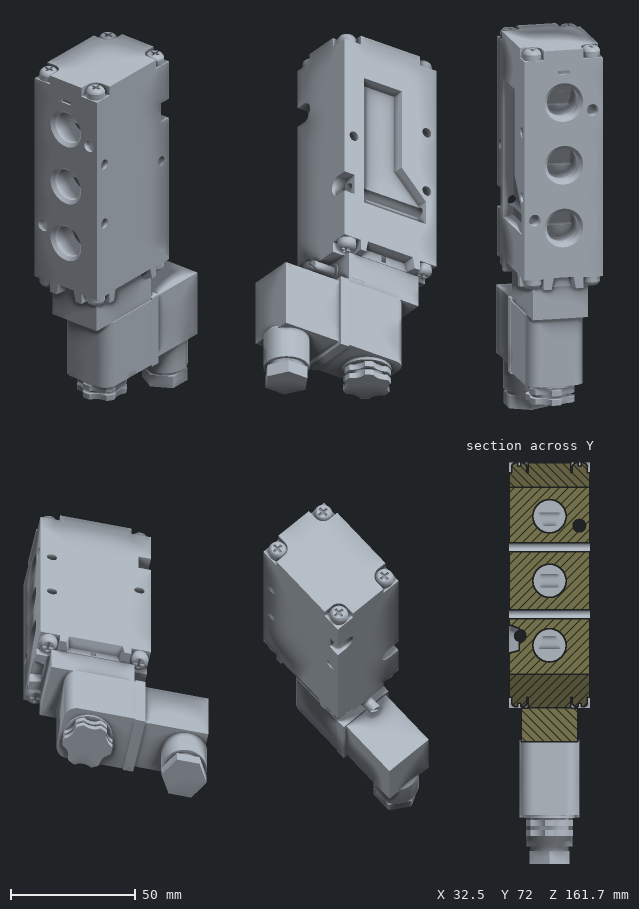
import cadquery as cq
import math


WIDTH = 32.5
DEPTH = 45.5
BODY_HEIGHT = 75.4
MID_Z = BODY_HEIGHT / 2
MID_Y = DEPTH / 2

PORT_SPACING = 26
PORT_MOUTH_DIAMETER = 16
PORT_DIAMETER = 13.2
PORT_CHAMFER = (PORT_MOUTH_DIAMETER - PORT_DIAMETER) / 2
PORT_CHAMFER_ANGLE = 45
PORT_DEPTH = 12
SLOT_SPACING = 24.8
SLOT_HEIGHT = 5.3
SLOT_DEPTH = 3

BOLT_HOLE_DIAMETER = 4.8
BOLT_HOLE_X = 12
BOLT_HOLE_OFFSET_Z = 22.2
COUNTERBORE_DIAMETER = 8.8
COUNTERBORE_DEPTH = 5.1

CROSS_HOLE_DIAMETER = 4.3
CROSS_HOLE_MARGIN = 4.75
CROSS_HOLE_OFFSET_Z = 13.5

POCKET_DEPTH = 4
POCKET_TAPER = 14
POCKET_TOP_Z = 66.3
POCKET_BOTTOM_Z = 8.7
POCKET_BACK_Y = 35.8
POCKET_STEP_Y = 17.1
POCKET_FRONT_Y = 5.1
POCKET_CORNER_Z = 18.9
POCKET_STEP_Z = POCKET_CORNER_Z + (POCKET_STEP_Y - POCKET_FRONT_Y)

TOP_CAP_HEIGHT = 10
LOWER_CAP_HEIGHT = 13.6
LOWER_CAP_Z = -LOWER_CAP_HEIGHT
CORNER_RECESS_SIZE = 8.1
TOP_RECESS_DEPTH = 4
LOWER_RECESS_DEPTH = 4.4
HEAD_DIAMETER = 7.5
HEAD_TOP_DIAMETER = 4.9
HEAD_RIM_HEIGHT = 2.4
HEAD_HEIGHT = 4
HEAD_DOME_RADIUS = 2.5
DRIVE_LENGTH = 4.3
DRIVE_WIDTH = 1.1
DRIVE_DEPTH = 1.5

VENT_WIDTH = 4.7
VENT_HEIGHT = 1.5
VENT_DEPTH = 1

WINDOW_HEIGHT = 4.8
WINDOW_DEPTH = 4.5
WINDOW_DRAFT = math.tan(math.radians(14))
FRONT_WINDOW_WIDTH = 8.3
SIDE_WINDOW_WIDTH = 22.2
WINDOW_SPREAD = 0.9
KEY_WIDTH = 2.2
KEY_TOP = 4.2
KEY_BOTTOM = 0.8
KEY_DEPTH = 3

PILOT_WIDTH = 23
PILOT_FRONT_Y = 5.5
PILOT_BACK_Y = 39.8
PILOT_HEIGHT = 13.6
PILOT_BOTTOM_Z = LOWER_CAP_Z - PILOT_HEIGHT
RELIEF_LENGTH = 7.6
RELIEF_HEIGHT = 2.4
RELIEF_DEPTH = 0.1
OVERRIDE_Z = -18
OVERRIDE_DIAMETER = 5
OVERRIDE_END_Y = 49.9
COLLAR_DIAMETER = 7.95
COLLAR_LENGTH = 0.5
DRIVER_SLOT_WIDTH = 1
DRIVER_SLOT_DEPTH = 1

COIL_WIDTH = 23.8
COIL_FRONT_Y = 11.7
COIL_BACK_Y = 40.1
COIL_BOTTOM_Z = -56.7
COIL_CORNER_RADIUS = 5.2
GASKET_WIDTH = 24
GASKET_THICKNESS = 4.1
GASKET_TOP_Z = -26.3
GASKET_BOTTOM_Z = -57.6
PLUG_WIDTH = 21
PLUG_BACK_Y = 70.4
PLUG_TOP_Z = -27.7
PLUG_BOTTOM_Z = -55.8

GLAND_Y = 62.6
GLAND_DIAMETER = 18.5
GLAND_NECK_DIAMETER = 15.5
GLAND_TOP_Z = -53.4
GLAND_BEVEL = 1.5
GLAND_BOTTOM_Z = -69.2
GLAND_NUT_TOP_Z = -71
GLAND_NUT_BOTTOM_Z = -76.3
GLAND_NUT_CORNERS = 18.7

COIL_NUT_Y = 22.85
COIL_NUT_DIAMETER = 20
COIL_NUT_NECK_DIAMETER = 15.5
COIL_NUT_FLANGE_BOTTOM_Z = -57.9
COIL_NUT_RING_TOPS = (-58.7, -62.6)
COIL_NUT_RING_HEIGHT = 2.4
COIL_NUT_BOTTOM_Z = COIL_NUT_RING_TOPS[-1] - COIL_NUT_RING_HEIGHT
SCALLOP_COUNT = 6
SCALLOP_RADIUS = 6
SCALLOP_HALF_ANGLE = math.radians(20)


def block(x_range, y_range, z_range):
    """Box between two limits on each axis."""
    size = [high - low for low, high in (x_range, y_range, z_range)]
    corner = (x_range[0], y_range[0], z_range[0])
    return cq.Workplane("XY").box(*size, centered=False).translate(corner)


def centred_block(width, y_range, z_range):
    return block((-width / 2, width / 2), y_range, z_range)


def cylinder_z(diameter, y, z_low, z_high):
    """Upright cylinder on the X = 0 plane."""
    base = cq.Workplane("XY", origin=(0, y, z_low))
    return base.circle(diameter / 2).extrude(z_high - z_low)


def cylinder_y(diameter, x, z, y_low, y_high):
    base = cq.Workplane("XZ", origin=(x, y_low, z))
    return base.circle(diameter / 2).extrude(y_low - y_high)


def port(index):
    """Chamfered port with a slot in its floor that leads to the spool bore."""
    z = MID_Z + index * PORT_SPACING
    slot_z = MID_Z + index * SLOT_SPACING
    bore = cylinder_y(PORT_DIAMETER, 0, z, 0, PORT_DEPTH)
    mouth_circle = cq.Workplane("XZ", origin=(0, 0, z)).circle(PORT_MOUTH_DIAMETER / 2)
    mouth = mouth_circle.extrude(-PORT_CHAMFER, taper=PORT_CHAMFER_ANGLE)
    slot_reach = cylinder_y(PORT_DIAMETER, 0, z, 0, PORT_DEPTH + SLOT_DEPTH)
    slot = slot_reach.intersect(
        centred_block(
            PORT_DIAMETER,
            (0, PORT_DEPTH + SLOT_DEPTH),
            (slot_z - SLOT_HEIGHT / 2, slot_z + SLOT_HEIGHT / 2),
        )
    )
    return bore.union(mouth).union(slot)


def bolt_hole(side):
    """Through hole along Y; its back counterbore opens out to the nearest side face as a U."""
    x = side * BOLT_HOLE_X
    z = MID_Z + side * BOLT_HOLE_OFFSET_Z
    seat_y = DEPTH - COUNTERBORE_DEPTH
    half_height = COUNTERBORE_DIAMETER / 2
    hole = cylinder_y(BOLT_HOLE_DIAMETER, x, z, 0, DEPTH)
    counterbore = cylinder_y(COUNTERBORE_DIAMETER, x, z, seat_y, DEPTH)
    side_opening = block(sorted((x, side * WIDTH / 2)), (seat_y, DEPTH), (z - half_height, z + half_height))
    return hole.union(counterbore).union(side_opening)


def side_pocket():
    """Tapered pocket in the -X face, with one corner cut at 45 degrees."""
    outline = [
        (POCKET_BACK_Y, POCKET_TOP_Z),
        (POCKET_STEP_Y, POCKET_TOP_Z),
        (POCKET_STEP_Y, POCKET_STEP_Z),
        (POCKET_FRONT_Y, POCKET_CORNER_Z),
        (POCKET_FRONT_Y, POCKET_BOTTOM_Z),
        (POCKET_BACK_Y, POCKET_BOTTOM_Z),
    ]
    face = cq.Workplane("YZ", origin=(-WIDTH / 2, 0, 0))
    return face.polyline(outline).close().extrude(POCKET_DEPTH, taper=POCKET_TAPER)


def make_valve_body():
    body = centred_block(WIDTH, (0, DEPTH), (0, BODY_HEIGHT))
    for index in (-1, 0, 1):
        body = body.cut(port(index))
    for side in (-1, 1):
        body = body.cut(bolt_hole(side))
    cross_holes = [
        (CROSS_HOLE_MARGIN, MID_Z + CROSS_HOLE_OFFSET_Z),
        (CROSS_HOLE_MARGIN, MID_Z - CROSS_HOLE_OFFSET_Z),
        (DEPTH - CROSS_HOLE_MARGIN, MID_Z),
    ]
    side_plane = cq.Workplane("YZ", origin=(-WIDTH / 2, 0, 0))
    body = body.cut(side_plane.pushPoints(cross_holes).circle(CROSS_HOLE_DIAMETER / 2).extrude(WIDTH))
    return body.cut(side_pocket())


def screw_head():
    """Domed head with a cross drive, seated on Z = 0 and pointing up."""
    rim = HEAD_DIAMETER / 2
    crown = HEAD_TOP_DIAMETER / 2
    profile = (
        cq.Workplane("XZ")
        .lineTo(rim, 0)
        .lineTo(rim, HEAD_RIM_HEIGHT)
        .radiusArc((crown, HEAD_HEIGHT), -HEAD_DOME_RADIUS)
        .lineTo(0, HEAD_HEIGHT)
        .close()
    )
    head = profile.revolve(360, (0, 0, 0), (0, 1, 0))
    drive = cq.Workplane("XY", origin=(0, 0, HEAD_HEIGHT - DRIVE_DEPTH))
    for length_x, length_y in ((DRIVE_LENGTH, DRIVE_WIDTH), (DRIVE_WIDTH, DRIVE_LENGTH)):
        head = head.cut(drive.rect(length_x, length_y).extrude(DRIVE_DEPTH))
    return head


def add_corner_screws(cap, seat_z, recess_depth, upward):
    """Cuts a round recess, opened out to the sides, at each corner and seats a screw head in it."""
    head = screw_head()
    if not upward:
        head = head.mirror("XY")
    recess_height = recess_depth if upward else -recess_depth
    offset = CORNER_RECESS_SIZE / 2
    for side_x in (-1, 1):
        for side_y in (-1, 1):
            x = side_x * (WIDTH / 2 - offset)
            y = MID_Y + side_y * (MID_Y - offset)
            recess = cq.Workplane("XY", origin=(x, y, seat_z)).circle(offset).extrude(recess_height)
            for length_x, length_y, shift_x, shift_y in (
                (2 * offset, offset, 0, side_y * offset / 2),
                (offset, 2 * offset, side_x * offset / 2, 0),
            ):
                wall_opening = cq.Workplane("XY", origin=(x + shift_x, y + shift_y, seat_z))
                recess = recess.union(wall_opening.rect(length_x, length_y).extrude(recess_height))
            cap = cap.cut(recess).union(head.translate((x, y, seat_z)))
    return cap


def make_top_cap():
    top_z = BODY_HEIGHT + TOP_CAP_HEIGHT
    cap = centred_block(WIDTH, (0, DEPTH), (BODY_HEIGHT, top_z))
    cap = add_corner_screws(cap, top_z - TOP_RECESS_DEPTH, TOP_RECESS_DEPTH, True)
    vent = centred_block(VENT_WIDTH, (0, VENT_DEPTH), (BODY_HEIGHT, BODY_HEIGHT + VENT_HEIGHT))
    return cap.cut(vent)


def window(width):
    """Drafted opening, cut inward along +Y from Y = 0, open at the cap's lower face."""
    def outline(inset):
        half = width / 2 - inset
        top = WINDOW_HEIGHT - inset
        return [
            (-half, top),
            (half, top),
            (half + WINDOW_SPREAD, 0),
            (-half - WINDOW_SPREAD, 0),
        ]

    mouth = cq.Workplane("XZ", origin=(0, 0, LOWER_CAP_Z)).polyline(outline(0)).close()
    back = mouth.workplane(offset=-WINDOW_DEPTH).polyline(outline(WINDOW_DEPTH * WINDOW_DRAFT)).close()
    return back.loft(ruled=True)


def side_window():
    """Window of the -X face, with a small wedge-shaped key slot in the middle of its back wall."""
    key_profile = [
        (WINDOW_DEPTH, LOWER_CAP_Z + KEY_TOP),
        (WINDOW_DEPTH, LOWER_CAP_Z + KEY_BOTTOM),
        (WINDOW_DEPTH + KEY_DEPTH, LOWER_CAP_Z + KEY_BOTTOM),
    ]
    key = cq.Workplane("YZ").polyline(key_profile).close().extrude(KEY_WIDTH / 2, both=True)
    opening = window(SIDE_WINDOW_WIDTH).union(key)
    return opening.rotate((0, 0, 0), (0, 0, 1), -90).translate((-WIDTH / 2, MID_Y, 0))


def make_lower_cap():
    cap = centred_block(WIDTH, (0, DEPTH), (LOWER_CAP_Z, 0))
    cap = add_corner_screws(cap, LOWER_CAP_Z + LOWER_RECESS_DEPTH, LOWER_RECESS_DEPTH, False)
    cap = cap.cut(window(FRONT_WINDOW_WIDTH))
    return cap.cut(side_window()).cut(side_window().mirror("YZ"))


def make_pilot_block():
    half = PILOT_WIDTH / 2
    pilot = centred_block(PILOT_WIDTH, (PILOT_FRONT_Y, PILOT_BACK_Y), (PILOT_BOTTOM_Z, LOWER_CAP_Z))
    relief_z = (PILOT_BOTTOM_Z, PILOT_BOTTOM_Z + RELIEF_HEIGHT)
    front_relief = block(
        (half - RELIEF_LENGTH, half),
        (PILOT_FRONT_Y, PILOT_FRONT_Y + RELIEF_DEPTH),
        relief_z,
    )
    side_relief = block(
        (-half, -half + RELIEF_DEPTH),
        (PILOT_BACK_Y - RELIEF_LENGTH, PILOT_BACK_Y),
        relief_z,
    )
    pilot = pilot.cut(front_relief).cut(side_relief)
    collar = cylinder_y(COLLAR_DIAMETER, 0, OVERRIDE_Z, PILOT_BACK_Y, PILOT_BACK_Y + COLLAR_LENGTH)
    button = cylinder_y(OVERRIDE_DIAMETER, 0, OVERRIDE_Z, PILOT_BACK_Y, OVERRIDE_END_Y)
    driver_slot = (
        cq.Workplane("XZ", origin=(0, OVERRIDE_END_Y, OVERRIDE_Z))
        .transformed(rotate=(0, 0, 45))
        .rect(OVERRIDE_DIAMETER, DRIVER_SLOT_WIDTH)
        .extrude(DRIVER_SLOT_DEPTH)
    )
    return pilot.union(collar).union(button.cut(driver_slot))


def coil_nut_ring(top_z):
    """Grip ring with scallops between six teeth; one tooth points to -Y."""
    radius = COIL_NUT_DIAMETER / 2
    half_chord = radius * math.sin(SCALLOP_HALF_ANGLE)
    centre_distance = radius * math.cos(SCALLOP_HALF_ANGLE) + math.sqrt(SCALLOP_RADIUS**2 - half_chord**2)
    bottom_z = top_z - COIL_NUT_RING_HEIGHT
    ring = cylinder_z(COIL_NUT_DIAMETER, COIL_NUT_Y, bottom_z, top_z)
    scallops = (
        cq.Workplane("XY", origin=(0, COIL_NUT_Y, bottom_z))
        .polarArray(centre_distance, 0, 360, SCALLOP_COUNT)
        .circle(SCALLOP_RADIUS)
        .extrude(COIL_NUT_RING_HEIGHT)
    )
    return ring.cut(scallops)


def coil_nut():
    nut = cylinder_z(COIL_NUT_NECK_DIAMETER, COIL_NUT_Y, COIL_NUT_BOTTOM_Z, COIL_BOTTOM_Z)
    nut = nut.union(cylinder_z(COIL_NUT_DIAMETER, COIL_NUT_Y, COIL_NUT_FLANGE_BOTTOM_Z, COIL_BOTTOM_Z))
    for top_z in COIL_NUT_RING_TOPS:
        nut = nut.union(coil_nut_ring(top_z))
    return nut


def cable_gland():
    gland = cylinder_z(GLAND_DIAMETER, GLAND_Y, GLAND_BOTTOM_Z, GLAND_TOP_Z)
    gland = gland.faces(">Z").chamfer(GLAND_BEVEL)
    gland = gland.union(cylinder_z(GLAND_NECK_DIAMETER, GLAND_Y, GLAND_NUT_TOP_Z, GLAND_BOTTOM_Z))
    nut = (
        cq.Workplane("XY", origin=(0, GLAND_Y, GLAND_NUT_BOTTOM_Z))
        .transformed(rotate=(0, 0, 90))
        .polygon(6, GLAND_NUT_CORNERS)
        .extrude(GLAND_NUT_TOP_Z - GLAND_NUT_BOTTOM_Z)
    )
    return gland.union(nut)


def make_solenoid():
    gasket_back_y = COIL_BACK_Y + GASKET_THICKNESS
    coil = centred_block(COIL_WIDTH, (COIL_FRONT_Y, COIL_BACK_Y), (COIL_BOTTOM_Z, PILOT_BOTTOM_Z))
    coil = coil.edges("|Z and <Y").fillet(COIL_CORNER_RADIUS)
    gasket = centred_block(GASKET_WIDTH, (COIL_BACK_Y, gasket_back_y), (GASKET_BOTTOM_Z, GASKET_TOP_Z))
    plug = centred_block(PLUG_WIDTH, (gasket_back_y, PLUG_BACK_Y), (PLUG_BOTTOM_Z, PLUG_TOP_Z))
    return coil.union(gasket).union(plug).union(cable_gland()).union(coil_nut())


valve_body = make_valve_body()
top_cap = make_top_cap()
lower_cap = make_lower_cap()
pilot_block = make_pilot_block()
solenoid = make_solenoid()

result = cq.Compound.makeCompound(
    [valve_body.val(), top_cap.val(), lower_cap.val(), pilot_block.val(), solenoid.val()]
)